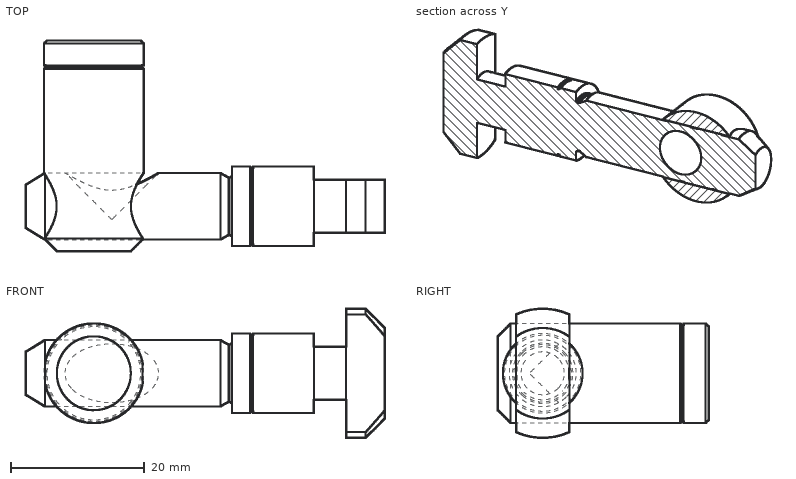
import cadquery as cq

bolt_length = 54.0
bolt_axis_y = 6.75
barrel_axis_x = 10.25

barrel_length = 31.7
barrel_radius = 7.5
barrel_front_chamfer = 1.95
barrel_rear_chamfer = 0.5
barrel_groove_start = 27.4
barrel_groove_width = 0.55

groove_depth = 0.25
groove_ramp = 0.3

shank_radius = 5.0
tip_radius = 3.25
tip_length = 2.9
shank_end = 29.25
shank_taper_end = 30.5
undercut_radius = 4.3
undercut_end = 30.65
undercut_exit_radius = 4.55

sleeve_start = 31.0
sleeve_end = 43.3
sleeve_radius = 6.0
sleeve_groove_start = 33.7
sleeve_groove_width = 0.5

neck_radius = 4.0
head_start = 48.15
head_radius = 9.7
head_chamfer = 2.9
head_width = 2 * neck_radius

seat_offset = 2.7
seat_radius = 7.0


def make_barrel():
    groove_end = barrel_groove_start + barrel_groove_width
    groove_bottom = barrel_radius - groove_depth
    body = (
        cq.Workplane("XY")
        .moveTo(0, 0)
        .lineTo(barrel_radius - barrel_front_chamfer, 0)
        .lineTo(barrel_radius, barrel_front_chamfer)
        .lineTo(barrel_radius, barrel_groove_start)
        .lineTo(groove_bottom, barrel_groove_start + groove_ramp)
        .lineTo(groove_bottom, groove_end)
        .lineTo(barrel_radius, groove_end)
        .lineTo(barrel_radius, barrel_length - barrel_rear_chamfer)
        .lineTo(barrel_radius - barrel_rear_chamfer, barrel_length)
        .lineTo(0, barrel_length)
        .close()
        .revolve(360, (0, 0, 0), (0, 1, 0))
        .translate((barrel_axis_x, 0, 0))
    )
    cross_hole = (
        cq.Workplane("YZ")
        .center(bolt_axis_y, 0)
        .circle(shank_radius)
        .extrude(bolt_length)
    )
    return body.cut(cross_hole)


def make_shaft():
    """Tip, shank, undercut, grooved sleeve and neck, up to the head."""
    groove_bottom = sleeve_radius - groove_depth
    groove_end = sleeve_groove_start + sleeve_groove_width
    return (
        cq.Workplane("XY")
        .moveTo(0, 0)
        .lineTo(0, tip_radius)
        .lineTo(tip_length, shank_radius)
        .lineTo(shank_end, shank_radius)
        .lineTo(shank_taper_end, undercut_radius)
        .lineTo(undercut_end, undercut_radius)
        .lineTo(sleeve_start, undercut_exit_radius)
        .lineTo(sleeve_start, sleeve_radius)
        .lineTo(sleeve_groove_start, sleeve_radius)
        .lineTo(sleeve_groove_start + groove_ramp, groove_bottom)
        .lineTo(groove_end, groove_bottom)
        .lineTo(groove_end, sleeve_radius)
        .lineTo(sleeve_end, sleeve_radius)
        .lineTo(sleeve_end, neck_radius)
        .lineTo(head_start, neck_radius)
        .lineTo(head_start, 0)
        .close()
        .revolve(360, (0, 0, 0), (1, 0, 0))
    )


def make_head():
    """Chamfered disc trimmed to a narrow T-head by two flats."""
    head_length = bolt_length - head_start
    disc = (
        cq.Workplane("YZ")
        .workplane(offset=head_start)
        .circle(head_radius)
        .extrude(head_length)
        .faces(">X")
        .chamfer(head_chamfer)
    )
    flats = (
        cq.Workplane("YZ")
        .workplane(offset=head_start)
        .rect(head_width, 2 * head_radius)
        .extrude(head_length)
    )
    return disc.intersect(flats)


def make_seat_cone():
    """Cone along Y whose rim is level with the side of the shank."""
    return (
        cq.Workplane("XY")
        .moveTo(0, shank_radius - seat_radius)
        .lineTo(seat_radius, shank_radius)
        .lineTo(0, shank_radius)
        .close()
        .revolve(360, (0, 0, 0), (0, 1, 0))
        .translate((barrel_axis_x + seat_offset, 0, 0))
    )


def make_bolt():
    bolt = make_shaft().union(make_head()).cut(make_seat_cone())
    return bolt.translate((0, bolt_axis_y, 0))


barrel = make_barrel()
bolt = make_bolt()
result = cq.Compound.makeCompound([barrel.solids().val(), bolt.solids().val()])